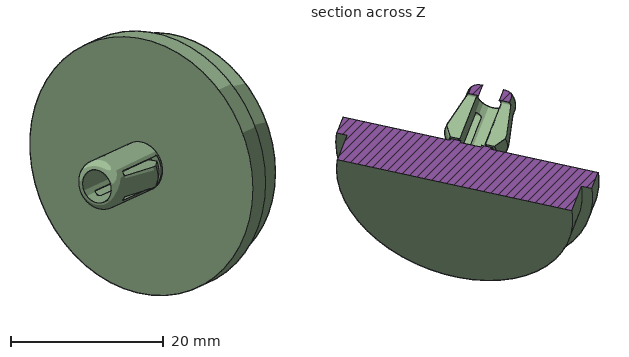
import cadquery as cq
import math

flange_diameter = 35.0
flange_thickness = 3.0
rear_disc_diameter = 32.2
rear_disc_thickness = 4.48

pin_radius = 3.32
pin_length = 10.5
bore_radius = 2.25
pin_end_round = 1.0

window_start = 0.3
window_end = 8.5
arm_width = 2.87
side_gap = 0.6
window_width = arm_width + 2 * side_gap

arm_tip = 0.85
barb_start = 2.55
barb_end = 3.2
barb_radius = 4.3


def cylinder(radius, start, end):
    """Cylinder on the Y axis between two Y positions."""
    return cq.Workplane("XZ", origin=(0, start, 0)).circle(radius).extrude(start - end)


def crossbar(width, start, end):
    """Bar across the pin along X, between two distances from the flange face."""
    length = end - start
    center = (0, -(start + end) / 2, 0)
    return cq.Workplane("XY", origin=center).box(flange_diameter, length, width)


def make_plate():
    flange = cylinder(flange_diameter / 2, 0, flange_thickness)
    rear_end = flange_thickness + rear_disc_thickness
    return flange.union(cylinder(rear_disc_diameter / 2, flange_thickness, rear_end))


def make_pin():
    return cylinder(pin_radius, 0, -pin_length).faces("<Y").edges().fillet(pin_end_round)


def arm_section(crown):
    """Section reaching from the pin axis to a crown with the pin's own curvature."""
    half_width = arm_width / 2
    corner = crown - pin_radius + math.sqrt(pin_radius**2 - half_width**2)
    return (
        cq.Workplane("XZ")
        .moveTo(0, -half_width)
        .lineTo(corner, -half_width)
        .threePointArc((crown, 0), (corner, half_width))
        .lineTo(0, half_width)
        .close()
        .val()
    )


def make_arm():
    """Barbed arm on the +X side, solid down to the pin axis."""
    profile = [
        (arm_tip, pin_radius),
        (barb_start, barb_radius),
        (barb_end, barb_radius),
        (window_end, pin_radius),
    ]
    sections = [arm_section(crown).translate(cq.Vector(0, -distance, 0)) for distance, crown in profile]
    return cq.Workplane(cq.Solid.makeLoft(sections, True))


def make_side_gap():
    """Slot above an arm, square at the flange and round at the pin end, along X through the pin."""
    inner = arm_width / 2
    outer = inner + side_gap
    round_start = window_end - side_gap / 2
    return (
        cq.Workplane("YZ")
        .moveTo(-window_start, inner)
        .lineTo(-round_start, inner)
        .threePointArc((-window_end, inner + side_gap / 2), (-round_start, outer))
        .lineTo(-window_start, outer)
        .close()
        .extrude(flange_diameter / 2, both=True)
    )


arm = make_arm()
gap = make_side_gap()

pin = make_pin().union(arm).union(arm.mirror("YZ"))
pin = pin.cut(gap).cut(gap.mirror("XY"))
pin = pin.cut(crossbar(window_width, window_start, arm_tip))
pin = pin.cut(cylinder(bore_radius, 0, -pin_length))

result = make_plate().union(pin)